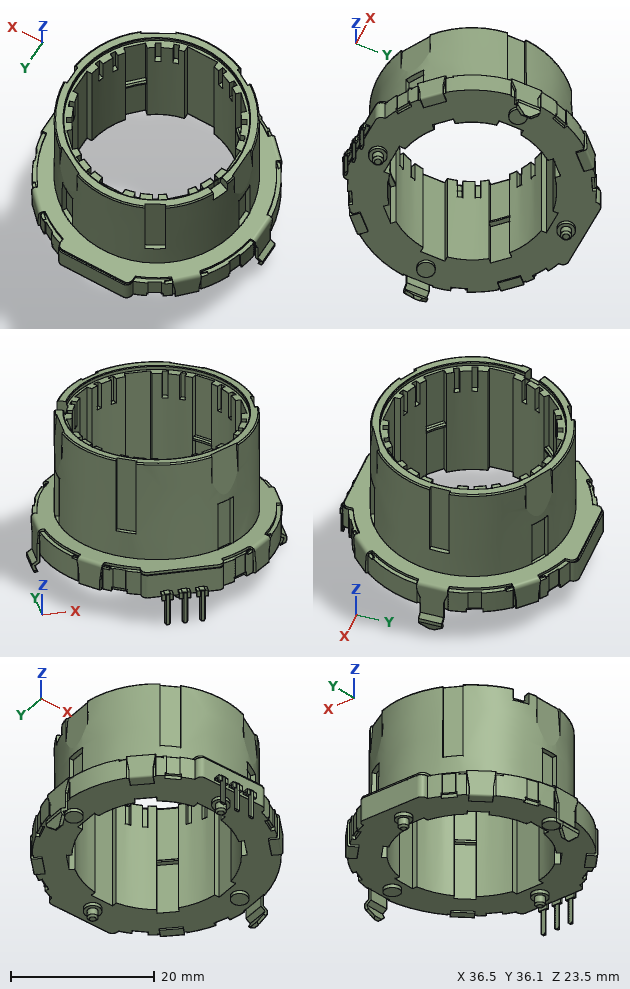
import cadquery as cq

overall_x = 36.5
overall_y = 36.11
overall_z = 23.47
top_z = 19.45
bottom_z = top_z - overall_z
half_length_x = overall_x / 2
flat_y = 17.5
terminal_front_y = flat_y - overall_y

body_radius = 17.42
cover_top = 4.0
sheet = 0.4
body_top = cover_top - sheet
cover_radius = 16.77
lug_half_width = 5.9
lug_fillet = 0.9
cover_inset = 0.22

barrel_radius = 14.4
barrel_top_radius = 14.35
rim_inner_radius = 13.0
rim_inner_chamfer = 0.12
rim_chamfer = 0.2
sleeve_radius = 11.85
sleeve_top = top_z - 0.6

key_angles = (0, 120, 240)
flat_angles = (60, 180, 300)
key_width = 2.9
key_bottom = 8.0
key_floor = 13.75
window_width = 2.95
window_top = 11.35
window_floor = 13.6
flat_width = 4.9
flat_bottom = 12.4
flat_floor = 13.8
rim_notch_angle = 159.5
rim_notch_width = 2.5
rim_notch_bottom = top_z - 1.9

channel_floor = 12.5
channel_width = 3.75
wide_channel_width = 4.85
pocket_width = 3.1
pocket_floor = 12.55
ridge_radius = 11.8
ridge_shoulder = 12.1
ridge_top = 9.2
ridge_height = 0.5
ridge_slope_drop = 0.2
groove_width = 0.8
groove_floor = 12.6
groove_bottom = top_z - 4.5
groove_offsets = (18, 30)

clip_angles = (45, 135, 225, 315)
clip_face = 17.55
clip_top_width = 4.1
clip_waist_width = 3.4
clip_waist_z = 1.2
bend_radius = 0.6
clip_hook_radius = 0.3
clip_foot = 1.6
clip_foot_drop = 0.28
clip_relief_width = 6.2
clip_relief_depth = 0.25

recess_angles = (20, 60, 120, 160, 240, 300)
recess_width = 1.9
recess_depth = 0.22
foot_notch_width = 2.3
foot_notch_height = 0.57
foot_notch_depth = 0.6

leg_face = 17.5
leg_top_half = 2.3
leg_half = 1.72
leg_tip_half = 0.4
leg_taper_start = 3.0
leg_taper_end = 1.4
leg_point_start = -2.9
leg_straight_end = -1.35
leg_tip_x = 17.2
knee_z = -2.2
bend_rise = 0.3

pad_offset = 14.65
pad_radius = 1.3
pad_height = 0.55
peg_radius = 0.78
peg_bottom = -1.95
peg_chamfer = 0.3

terminal_pitch = 2.5
lead_width = 1.6
lead_thickness = 0.35
lead_top = 0.82
rib_height = 0.1
pin_width = 0.8
pin_thickness = 0.35
pin_chamfer = 0.2
wing_bottom = -0.12

join = 0.3
clearance = 1.0


def cylinder(radius, z_low, z_high):
    return cq.Workplane("XY").workplane(offset=z_low).circle(radius).extrude(z_high - z_low)


def radial_block(r_in, r_out, width, z_low, z_high, angle):
    """Box spanning r_in..r_out along the direction at the given angle."""
    block = cq.Workplane("XY").box(r_out - r_in, width, z_high - z_low, centered=(False, True, False))
    return block.translate((r_in, 0, z_low)).rotate((0, 0, 0), (0, 0, 1), angle)


def radial_profile(points, width, angle):
    """Extrude an (r, z) outline symmetrically and turn it to the given angle."""
    prism = cq.Workplane("XZ").polyline(points).close().extrude(width / 2, both=True)
    return prism.rotate((0, 0, 0), (0, 0, 1), angle)


def make_body():
    body = cylinder(body_radius, 0, body_top)
    lug = cq.Workplane("XY").rect(2 * lug_half_width, 2 * flat_y).extrude(body_top)
    body = body.union(lug.edges("|Z").fillet(lug_fillet))
    for angle in recess_angles:
        body = body.cut(radial_block(body_radius - recess_depth, body_radius + clearance,
                                     recess_width, 0, body_top, angle))
        body = body.cut(radial_block(body_radius - foot_notch_depth, body_radius + clearance,
                                     foot_notch_width, 0, foot_notch_height, angle))
    for angle in clip_angles:
        body = body.cut(radial_block(clip_face - sheet, body_radius + clearance,
                                     clip_top_width, 0, body_top, angle))
        body = body.cut(radial_block(cover_radius, body_radius + clearance, clip_relief_width,
                                     body_top - clip_relief_depth, body_top, angle))
    for angle in (0, 180):
        body = body.cut(radial_block(leg_face - sheet, body_radius + clearance,
                                     2 * leg_top_half, 0, body_top, angle))
    return body


def make_cover():
    disc = cylinder(cover_radius, body_top, cover_top)
    lug = cq.Workplane("XY").workplane(offset=body_top)
    lug = lug.rect(2 * lug_half_width, 2 * (flat_y - cover_inset)).extrude(sheet)
    cover = disc.union(lug.edges("|Z").fillet(lug_fillet))
    return cover.cut(cylinder(barrel_radius, body_top, cover_top))


def make_clip(angle):
    """Cover tab bent down over the body and hooked under its lower face."""
    foot_end = clip_face - clip_foot
    clip = radial_block(foot_end, clip_face, clip_top_width, -clip_foot_drop, cover_top, 0)
    gap = radial_block(foot_end - clearance, clip_face - sheet, 2 * clip_top_width, 0, body_top, 0)
    clip = clip.cut(gap).faces(">X").edges(">Z").fillet(bend_radius)
    clip = clip.faces(">X").edges("<Z").fillet(clip_hook_radius)
    outline = (cq.Workplane("YZ")
               .moveTo(-clip_top_width / 2, cover_top)
               .lineTo(clip_top_width / 2, cover_top)
               .lineTo(clip_top_width / 2, body_top)
               .lineTo(clip_waist_width / 2, clip_waist_z)
               .lineTo(clip_waist_width / 2, -clip_foot_drop)
               .lineTo(-clip_waist_width / 2, -clip_foot_drop)
               .lineTo(-clip_waist_width / 2, clip_waist_z)
               .lineTo(-clip_top_width / 2, body_top)
               .close().extrude(clip_face + clearance))
    return clip.intersect(outline).rotate((0, 0, 0), (0, 0, 1), angle)


def make_leg(angle):
    """Snap-in leg: bent strip narrowed in width to a pointed tip."""
    strip = (cq.Workplane("XZ")
             .moveTo(cover_radius - join, cover_top)
             .lineTo(leg_face - bend_radius, cover_top)
             .radiusArc((leg_face, cover_top - bend_radius), bend_radius)
             .lineTo(leg_face, leg_straight_end)
             .lineTo(half_length_x, knee_z + bend_rise)
             .lineTo(half_length_x, knee_z - bend_rise)
             .lineTo(leg_tip_x + sheet, bottom_z)
             .lineTo(leg_tip_x, bottom_z + bend_rise)
             .lineTo(half_length_x - sheet, knee_z)
             .lineTo(leg_face - sheet, leg_straight_end - bend_rise)
             .lineTo(leg_face - sheet, body_top)
             .lineTo(cover_radius - join, body_top)
             .close().extrude(leg_top_half, both=True))
    half_outline = [(leg_top_half, cover_top), (leg_top_half, leg_taper_start), (leg_half, leg_taper_end),
                    (leg_half, leg_point_start), (leg_tip_half, bottom_z)]
    mirrored = [(-y, z) for y, z in reversed(half_outline)]
    mask = cq.Workplane("YZ").polyline(half_outline + mirrored).close()
    leg = strip.intersect(mask.extrude(half_length_x + clearance))
    return leg.rotate((0, 0, 0), (0, 0, 1), angle)


def make_barrel():
    barrel = (cq.Workplane("XZ")
              .moveTo(0, 0)
              .lineTo(barrel_radius, 0)
              .lineTo(barrel_radius, cover_top)
              .lineTo(barrel_top_radius, top_z - rim_chamfer)
              .lineTo(barrel_top_radius - rim_chamfer, top_z)
              .lineTo(0, top_z)
              .close().revolve(360, (0, 0, 0), (0, 1, 0)))
    rim_bore = cylinder(rim_inner_radius, sleeve_top, top_z)
    barrel = barrel.cut(rim_bore).faces(">Z").edges(cq.selectors.RadiusNthSelector(0))
    barrel = barrel.chamfer(rim_inner_chamfer)
    reach = barrel_radius + clearance
    for angle in key_angles:
        barrel = barrel.cut(radial_block(key_floor, reach, key_width, key_bottom, top_z, angle))
    taper = (barrel_radius - barrel_top_radius) / (top_z - cover_top)
    flat_run_out = barrel_radius - taper * (flat_bottom - cover_top)
    for angle in flat_angles:
        barrel = barrel.cut(radial_block(window_floor, reach, window_width, body_top, window_top, angle))
        slope = [(flat_floor, top_z), (flat_run_out, flat_bottom), (reach, flat_bottom), (reach, top_z)]
        barrel = barrel.cut(radial_profile(slope, flat_width, angle))
    return barrel.cut(radial_block(rim_inner_radius - join, reach, rim_notch_width,
                                   rim_notch_bottom, top_z, rim_notch_angle))


def make_bore():
    """Everything removed from the inside: bore, channels, pockets and grooves."""
    bore = cylinder(sleeve_radius, 0, top_z)
    for angle in (0, 90, 180, 270):
        width = wide_channel_width if angle == 270 else channel_width
        bore = bore.union(radial_block(0, channel_floor, width, 0, top_z, angle))
        for offset in groove_offsets:
            for side in (-1, 1):
                bore = bore.union(radial_block(0, groove_floor, groove_width,
                                               groove_bottom, top_z, angle + side * offset))
    ridge_bottom = ridge_top - ridge_height
    for angle in clip_angles:
        pocket = [(0, top_z), (pocket_floor, top_z),
                  (pocket_floor, ridge_top), (ridge_shoulder, ridge_top),
                  (ridge_radius, ridge_top - ridge_slope_drop),
                  (ridge_radius, ridge_bottom), (pocket_floor, ridge_bottom),
                  (pocket_floor, 0), (0, 0)]
        bore = bore.union(radial_profile(pocket, pocket_width, angle))
    return bore


def make_pad(x, y):
    return cylinder(pad_radius, -pad_height, join).translate((x, y, 0))


def make_peg(y):
    peg = cylinder(peg_radius, peg_bottom, join).faces("<Z").chamfer(peg_chamfer)
    return make_pad(0, y).union(peg.translate((0, y, 0)))


def make_terminal(x):
    """Wide lead folded down outside the lug, with a raised rib running on into the pin."""
    strip_front = terminal_front_y + rib_height
    strip_outline = [(-flat_y + join, lead_top), (strip_front, lead_top), (strip_front, wing_bottom),
                     (strip_front + lead_thickness, wing_bottom),
                     (strip_front + lead_thickness, lead_top - lead_thickness),
                     (-flat_y + join, lead_top - lead_thickness)]
    strip = cq.Workplane("YZ").polyline(strip_outline).close().extrude(lead_width / 2, both=True)
    pin = cq.Workplane("XY").box(pin_width, pin_thickness, lead_top - bottom_z,
                                 centered=(True, False, False))
    pin = pin.edges("|Z and <Y").chamfer(pin_chamfer)
    pin = pin.faces("<Z").edges("<X or >X").chamfer(pin_chamfer)
    pin = pin.translate((0, terminal_front_y, bottom_z))
    rib_length = -flat_y + join - strip_front
    rib = cq.Workplane("XY").box(pin_width, rib_length, rib_height, centered=(True, False, False))
    rib = rib.translate((0, strip_front, lead_top))
    return strip.union(pin).union(rib).translate((x, 0, 0))


result = make_body().union(make_cover()).union(make_barrel())
for clip_angle in clip_angles:
    result = result.union(make_clip(clip_angle))
for leg_angle in (0, 180):
    result = result.union(make_leg(leg_angle))
for pad_side in (-1, 1):
    result = result.union(make_pad(pad_side * pad_offset, 0))
    result = result.union(make_peg(pad_side * pad_offset))
for terminal_index in (-1, 0, 1):
    result = result.union(make_terminal(terminal_index * terminal_pitch))
result = result.cut(make_bore())